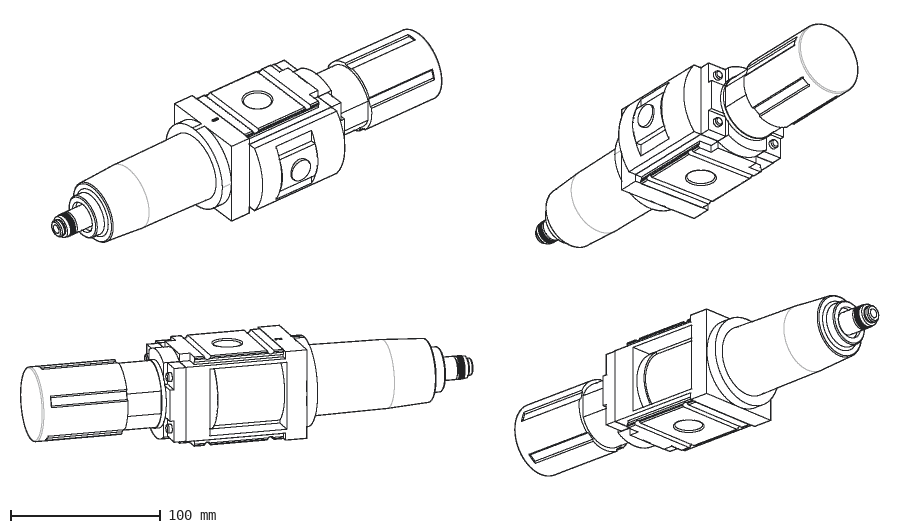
import cadquery as cq

KNOB_TOP = 141.0
OVERALL_LENGTH = 311.13
NIPPLE_END = KNOB_TOP - OVERALL_LENGTH
KNOB_RIM = 136.6
KNOB_BOTTOM = 77.1
COLLAR_TOP = 52.7
CAP_TOP = 49.7
BODY_TOP = 38.5
PAD_TOP = 31.2
BODY_BOTTOM = -31.0
BASE_BOTTOM = -46.0
FLANGE_BOTTOM = -53.6
BOWL_SEAM = -109.6
BOWL_BOTTOM = -139.5
BOSS_TOP = -141.2
BOSS_BOTTOM = -148.0

KNOB_R = 50.23 / 2
KNOB_EDGE_FILLET = 1.0
GRIP_COUNT = 5
GRIP_TOP = 130.4
GRIP_HALF_WIDTH = 4.2
GRIP_FLOOR_HALF_WIDTH = 2.8
GRIP_DEPTH = 1.3
CUT_CLEARANCE = 1.0
NECK_R = 45 / 2
NECK_HALF_FLATS = 21.1
COLLAR_R = 23.0

OVERALL_WIDTH = 78.5
HALF_WIDTH = 62 / 2
ROUND_R = 30.75
BODY_HALF_HEIGHT = 25.8
BASE_HALF_HEIGHT = ROUND_R
PAD_HALF_HEIGHT = 31.0
STEM_HALF_WIDTH = 16.3
PAD_FACE_HALF_WIDTH = 26.0
PAD_SIDE_HALF_WIDTH = 26.9
PAD_BEVEL_Z = 30.2
PAD_SIDE_Z = 29.3
PAD_FOOT_Z = 27.4
GROOVE_CENTRES = (22.0, -22.1)
GROOVE_R = 2.3
PORT_D = 18.63
PORT_MOUTH_D = 20.6
PORT_DEPTH = 14.0
TAB_WIDTH = 3.4
MARK_WIDTH = 1.5
MARK_LENGTH = 4.5
MARK_DEPTH = 0.5
MARK_Y = -35.7

CAP_INSET = 0.2
NOTCH_Z = 10.8
NOTCH_DEPTH = 3.0
SCREW_X = 23.8
SCREW_Z = 17.9
SCREW_D = 6.0
SCREW_CHAMFER = 0.8

WINDOW_TOP = 21.7
WINDOW_BOTTOM = -32.0
WINDOW_HALF_HEIGHT = 23.2
INSERT_SHOULDER = 15.0
INSERT_SHOULDER_R = 27.5
INSERT_R = 26.1
WINDOW_FLOOR_X = -15.3

COVER_HALF_HEIGHT = 25.6
COVER_EDGE_X = 36.7
COVER_CREST_X = 45.5
GAUGE_HALF_LENGTH = 15.0
GAUGE_FLOOR_X = 39.4
GAUGE_SIDE_X = 43.4
GAUGE_CREST_X = 46.4
GAUGE_HALF_HEIGHT = 13.0
BUTTON_D = 15.8
BUTTON_TOP_X = OVERALL_WIDTH - HALF_WIDTH

BOWL_TOP_R = 24.0
BOWL_SEAM_R = 23.2
BOWL_BOTTOM_R = 21.5
BOWL_EDGE = 0.8
BOSS_SHOULDER_R = 17.2
BOSS_R = 15.2
BOSS_EDGE = 0.8
BOSS_RECESS_R = 10.8
BOSS_RECESS_DEPTH = 3.0
NIPPLE_R = 15.8 / 2
NIPPLE_GROOVE_R = 11 / 2
NIPPLE_TIP_R = 11.6 / 2
NIPPLE_TIP_EDGE = 0.8
NIPPLE_BORE_D = 6.0
NIPPLE_BORE_DEPTH = 10.0
STEM_END = -158.4
THREAD_TOP = -159.9
THREAD_BOTTOM = -164.5
THREAD_ROOT_R = 15 / 2
THREAD_RINGS = 3
LOWER_RING_BOTTOM = -166.3
TIP_TOP = -167.4


def block(x_range, y_range, z_range):
    """Axis-aligned block from its limits."""
    sizes = [high - low for low, high in (x_range, y_range, z_range)]
    corner = (x_range[0], y_range[0], z_range[0])
    return cq.Workplane("XY").box(*sizes, centered=False).translate(corner)


def rod(radius, y_low, y_high):
    """Round bar on the Y axis."""
    return cq.Workplane("XZ", origin=(0, y_high, 0)).circle(radius).extrude(y_high - y_low)


def along_y(points, y_low, y_high):
    """Closed (x, z) outline extruded along Y."""
    return cq.Workplane("XZ", origin=(0, y_high, 0)).polyline(points).close().extrude(y_high - y_low)


def turned(points):
    """Closed (radius, y) outline revolved about the Y axis."""
    return cq.Workplane("XY").polyline(points).close().revolve(360, (0, 0, 0), (0, 1, 0))


def mirrored(solid):
    """The solid together with its image below the XY plane."""
    return solid.union(solid.mirror("XY"))


def make_knob():
    """Domed knob with grip grooves around its side, open towards the neck."""
    sag = KNOB_TOP - KNOB_RIM
    dome_r = (KNOB_R**2 + sag**2) / (2 * sag)
    dome = cq.Workplane("XY").sphere(dome_r).translate((0, KNOB_TOP - dome_r, 0))
    knob = rod(KNOB_R, KNOB_BOTTOM, KNOB_TOP).intersect(dome)
    knob = knob.faces("%CYLINDER").edges(">Y").fillet(KNOB_EDGE_FILLET)
    floor_r = KNOB_R - GRIP_DEPTH
    wall_slope = (GRIP_HALF_WIDTH - GRIP_FLOOR_HALF_WIDTH) / GRIP_DEPTH
    outer_r = KNOB_R + CUT_CLEARANCE
    outer_half = GRIP_FLOOR_HALF_WIDTH + wall_slope * (outer_r - floor_r)
    groove = along_y(
        [
            (-GRIP_FLOOR_HALF_WIDTH, floor_r),
            (GRIP_FLOOR_HALF_WIDTH, floor_r),
            (outer_half, outer_r),
            (-outer_half, outer_r),
        ],
        KNOB_BOTTOM,
        GRIP_TOP,
    )
    for i in range(GRIP_COUNT):
        knob = knob.cut(groove.rotate((0, 0, 0), (0, 1, 0), i * 360 / GRIP_COUNT))
    return knob


def make_neck():
    """Round neck with two side flats, standing on a collar."""
    neck = rod(NECK_R, COLLAR_TOP, KNOB_BOTTOM)
    flats = block(
        (-NECK_HALF_FLATS, NECK_HALF_FLATS), (COLLAR_TOP, KNOB_BOTTOM), (-NECK_R, NECK_R)
    )
    return neck.intersect(flats).union(rod(COLLAR_R, CAP_TOP, COLLAR_TOP))


def make_cap():
    """Cap between collar and body, with a screw in each notched corner."""
    ends = (BODY_TOP, CAP_TOP)
    half_width = HALF_WIDTH - CAP_INSET
    half_height = BODY_HALF_HEIGHT - CAP_INSET
    cap = block((-half_width, half_width), ends, (-half_height, half_height))
    cap = cap.union(rod(ROUND_R - CAP_INSET, *ends).intersect(
        block((-STEM_HALF_WIDTH, STEM_HALF_WIDTH), ends, (-ROUND_R, ROUND_R))
    ))
    notch_floor = CAP_TOP - NOTCH_DEPTH
    notch = block(
        (STEM_HALF_WIDTH, HALF_WIDTH), (notch_floor, CAP_TOP), (NOTCH_Z, BODY_HALF_HEIGHT)
    )
    screw = rod(SCREW_D / 2, notch_floor, CAP_TOP).faces(">Y").chamfer(SCREW_CHAMFER)
    notch = notch.cut(screw.translate((SCREW_X, 0, SCREW_Z)))
    notches = mirrored(notch.union(notch.mirror("YZ")))
    return cap.cut(notches)


def make_pad():
    """Raised T-shaped connection pad on the +Z side, with undercut edges and two round cross grooves."""
    half_outline = [
        (PAD_FACE_HALF_WIDTH, BODY_HALF_HEIGHT),
        (PAD_FACE_HALF_WIDTH, PAD_FOOT_Z),
        (PAD_SIDE_HALF_WIDTH, PAD_SIDE_Z),
        (PAD_SIDE_HALF_WIDTH, PAD_BEVEL_Z),
        (PAD_FACE_HALF_WIDTH, PAD_HALF_HEIGHT),
    ]
    other_half = [(-x, z) for x, z in reversed(half_outline)]
    pad = along_y(half_outline + other_half, BODY_BOTTOM, PAD_TOP)
    pad = pad.union(block(
        (-STEM_HALF_WIDTH, STEM_HALF_WIDTH), (PAD_TOP, BODY_TOP), (BODY_HALF_HEIGHT, PAD_HALF_HEIGHT)
    ))
    for y in GROOVE_CENTRES:
        groove = (
            cq.Workplane("YZ", origin=(-HALF_WIDTH, y, PAD_HALF_HEIGHT))
            .circle(GROOVE_R)
            .extrude(2 * HALF_WIDTH)
        )
        pad = pad.cut(groove)
    return pad


def make_port():
    """Blind threaded-port cutter on the +Z side with a countersunk mouth."""
    mouth_depth = (PORT_MOUTH_D - PORT_D) / 2
    face = cq.Workplane("XY", origin=(0, 0, PAD_HALF_HEIGHT))
    bore = face.circle(PORT_D / 2).extrude(-PORT_DEPTH)
    mouth = cq.Solid.makeCone(
        PORT_D / 2, PORT_MOUTH_D / 2, mouth_depth, cq.Vector(0, 0, PAD_HALF_HEIGHT - mouth_depth)
    )
    return bore.union(cq.Workplane(mouth))


def make_window():
    """Cutter for the -X window, leaving the round insert standing inside it."""
    window = block(
        (-HALF_WIDTH, WINDOW_FLOOR_X),
        (WINDOW_BOTTOM, WINDOW_TOP),
        (-WINDOW_HALF_HEIGHT, WINDOW_HALF_HEIGHT),
    )
    window = window.cut(rod(INSERT_SHOULDER_R, INSERT_SHOULDER, WINDOW_TOP))
    return window.cut(rod(INSERT_R, WINDOW_BOTTOM, INSERT_SHOULDER))


def make_body():
    """Body and base blocks with pads, ports, window and an alignment mark."""
    sides = (-HALF_WIDTH, HALF_WIDTH)
    body = block(sides, (BODY_BOTTOM, BODY_TOP), (-BODY_HALF_HEIGHT, BODY_HALF_HEIGHT))
    body = body.union(block(sides, (BASE_BOTTOM, BODY_BOTTOM), (-BASE_HALF_HEIGHT, BASE_HALF_HEIGHT)))
    body = body.union(mirrored(make_pad()))
    body = body.cut(make_window()).cut(mirrored(make_port()))
    mark = block(
        (-MARK_WIDTH / 2, MARK_WIDTH / 2),
        (MARK_Y - MARK_LENGTH / 2, MARK_Y + MARK_LENGTH / 2),
        (BASE_HALF_HEIGHT - MARK_DEPTH, BASE_HALF_HEIGHT),
    )
    return body.cut(mark)


def bulged(y_range, side_x, crest_x, half_height):
    """Block on the +X side whose outer face is an arc rising from side_x to crest_x."""
    return (
        cq.Workplane("XZ", origin=(0, y_range[1], 0))
        .moveTo(HALF_WIDTH, -half_height)
        .lineTo(side_x, -half_height)
        .threePointArc((crest_x, 0), (side_x, half_height))
        .lineTo(HALF_WIDTH, half_height)
        .close()
        .extrude(y_range[1] - y_range[0])
    )


def make_gauge_cover():
    """Curved side cover with a raised gauge set in a recess and a round button on it."""
    centre_band = (-GAUGE_HALF_LENGTH, GAUGE_HALF_LENGTH)
    cover = bulged((BODY_BOTTOM, BODY_TOP), COVER_EDGE_X, COVER_CREST_X, COVER_HALF_HEIGHT)
    cover = cover.cut(block(
        (GAUGE_FLOOR_X, COVER_CREST_X), centre_band, (-COVER_HALF_HEIGHT, COVER_HALF_HEIGHT)
    ))
    gauge = bulged(centre_band, GAUGE_SIDE_X, GAUGE_CREST_X, GAUGE_HALF_HEIGHT)
    button = (
        cq.Workplane("YZ", origin=(GAUGE_FLOOR_X, 0, 0))
        .circle(BUTTON_D / 2)
        .extrude(BUTTON_TOP_X - GAUGE_FLOOR_X)
    )
    return cover.union(gauge).union(button)


def make_bowl():
    """Round flange, tapered bowl and drain boss with a recess around the nipple."""
    bowl = turned([
        (0, BASE_BOTTOM),
        (ROUND_R, BASE_BOTTOM),
        (ROUND_R, FLANGE_BOTTOM),
        (BOWL_TOP_R, FLANGE_BOTTOM),
        (BOWL_SEAM_R, BOWL_SEAM),
        (BOWL_BOTTOM_R, BOWL_BOTTOM + BOWL_EDGE),
        (BOWL_BOTTOM_R - BOWL_EDGE, BOWL_BOTTOM),
        (BOSS_SHOULDER_R, BOWL_BOTTOM),
        (BOSS_R, BOSS_TOP),
        (BOSS_R, BOSS_BOTTOM + BOSS_EDGE),
        (BOSS_R - BOSS_EDGE, BOSS_BOTTOM),
        (BOSS_RECESS_R, BOSS_BOTTOM),
        (BOSS_RECESS_R, BOSS_BOTTOM + BOSS_RECESS_DEPTH),
        (0, BOSS_BOTTOM + BOSS_RECESS_DEPTH),
    ])
    tab = block(
        (-TAB_WIDTH / 2, TAB_WIDTH / 2), (FLANGE_BOTTOM, BASE_BOTTOM), (BOWL_TOP_R, ROUND_R)
    )
    return bowl.union(tab)


def make_nipple():
    """Drain nipple: plain stem, ringed thread, grooved neck and bored tip."""
    nipple = rod(NIPPLE_R, STEM_END, BOSS_BOTTOM + BOSS_RECESS_DEPTH)
    nipple = nipple.union(rod(NIPPLE_GROOVE_R, TIP_TOP, STEM_END))
    nipple = nipple.union(rod(THREAD_ROOT_R, LOWER_RING_BOTTOM, THREAD_TOP))
    pitch = (THREAD_TOP - THREAD_BOTTOM) / THREAD_RINGS
    for i in range(THREAD_RINGS):
        ring_top = THREAD_TOP - i * pitch
        nipple = nipple.union(rod(NIPPLE_R, ring_top - pitch / 2, ring_top))
    tip = rod(NIPPLE_TIP_R, NIPPLE_END, TIP_TOP).faces("<Y").chamfer(NIPPLE_TIP_EDGE)
    bore = rod(NIPPLE_BORE_D / 2, NIPPLE_END, NIPPLE_END + NIPPLE_BORE_DEPTH)
    return nipple.union(tip).cut(bore)


result = make_knob()
for piece in (make_neck(), make_cap(), make_body(), make_gauge_cover(), make_bowl(), make_nipple()):
    result = result.union(piece)